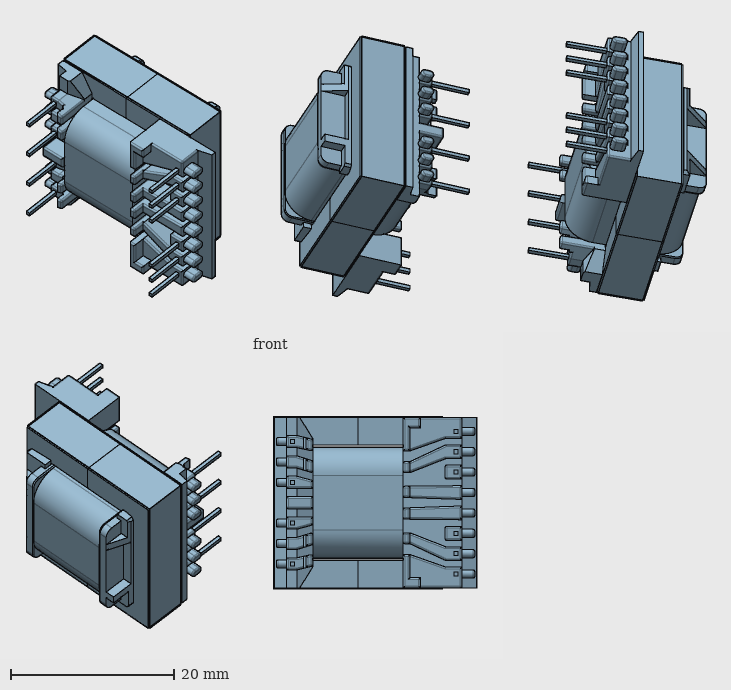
import cadquery as cq

core_half_x = 10.23
core_half_y = 3.0
core_half_z = 10.45
window_half_x = 6.75
window_half_z = 7.05
leg_half_z = 3.11

tape_thickness = 0.1
tape_half_y = 2.8

winding_half_x = 5.53
winding_half_z = 6.82
winding_back_y = 6.77
winding_front_y = -8.15
winding_radius = 3.49

tube_wall = 0.5
plate_half_z = 6.92
plate_radius = 1.0
rim_length = 0.2
rim_depth = 0.07

ledge_half_z = 7.62
ledge_top_y = 4.1
ledge_floor_y = 3.65
ledge_inner_x = 6.08
ledge_tip_y = 3.25
left_ledge_x = 8.0
left_ledge_chamfer = 0.3
right_ledge_x = 9.55
right_ledge_chamfer = 0.4
gusset_inner_z = 3.65
gusset_outer_z = 4.7

flange_back_y = -3.05
lip_root_y = -4.18
left_base_y = -5.38
left_face_x = -8.76
left_lip_x = -10.28
left_lip_y = -3.9
slope_start_x = -7.5
slope_end_y = -4.4
left_corner_x = -7.15
left_corner_z = 7.85
right_base_y = -4.53
right_face_x = 12.75
right_lip_x = 14.57
right_lip_y = -3.65

lug_root_y = -3.98
shelf_y = -7.1
stub_y = -8.67
middle_lug_y = -8.6
lug_fillet = 0.22
lug_half_width = 0.75
step_radius = 0.3
left_stub_x = -6.37
right_stub_x = 6.37
right_bend_x = 10.75
end_wall_z = 6.35
end_wall_bend_z = 7.9
hook_x = 7.67
hook_z = 9.2

outer_lug_rise = 0.25
outer_lug_drop = 1.17
second_lug_rise = 0.12
second_lug_drop = 1.35
tapered_lug_end_z = 2.71

bent_lug_inner_top_z = 5.03
bent_lug_inner_bottom_z = 3.69
bent_lug_outer_top_z = 7.1
bent_lug_outer_bottom_z = 5.4
short_lug_x = 10.68
short_lug_top_z = 4.63
short_lug_bottom_z = 2.9
long_lug_inner_top_z = 2.02
long_lug_inner_bottom_z = 0.65
long_lug_outer_top_z = 2.1
long_lug_outer_bottom_z = 0.4

pin_row_spacing = 20.0
pin_row_middle_x = 2.0
pin_pitch = pin_row_spacing / 8
pin_width = 0.5
pin_tip_y = -12.13
peg_width = 1.0
peg_rounding = 0.22
left_peg_x = -10.0
left_peg_y = -6.03
left_peg_height = 1.65
right_peg_x = 14.32
right_peg_y = -5.9
right_peg_height = 1.9
left_peg_rows = (1, 2, 3)
left_pin_rows = (1, 3)
right_peg_rows = (0.5, 1.5, 2.5, 3.5)
right_pin_rows = (1.5, 2.5, 3.5)


def block(x0, x1, y0, y1, z0, z1):
    """Box between two opposite corners."""
    return cq.Workplane("XY").box(x1 - x0, y1 - y0, z1 - z0, centered=False).translate((x0, y0, z0))


def side_prism(points, z0, z1):
    """Prism along Z over an outline in X and Y."""
    return cq.Workplane("XY").workplane(offset=z0).polyline(points).close().extrude(z1 - z0)


def front_prism(points, y_root, y_front):
    """Prism along -Y over an outline in X and Z."""
    plane = cq.Workplane("XZ", origin=(0, y_root, 0))
    return plane.polyline(points).close().extrude(y_root - y_front)


def mirrored_z(shape):
    return shape.mirror("XY")


def make_core_half(side):
    """E-shaped half: a yoke, two outer legs and a middle leg reaching X = 0."""
    body = block(0, core_half_x, -core_half_y, core_half_y, -core_half_z, core_half_z)
    for z_side in (-1, 1):
        window_z = sorted((z_side * leg_half_z, z_side * window_half_z))
        body = body.cut(block(0, window_half_x, -core_half_y, core_half_y, *window_z))
    return body if side > 0 else body.mirror("YZ")


def make_tape():
    outer_x = core_half_x + tape_thickness
    outer_z = core_half_z + tape_thickness
    band = block(-outer_x, outer_x, -tape_half_y, tape_half_y, -outer_z, outer_z)
    return band.cut(
        block(-core_half_x, core_half_x, -tape_half_y, tape_half_y, -core_half_z, core_half_z)
    )


def tube_envelope():
    half_y = core_half_y + tube_wall
    half_z = leg_half_z + tube_wall
    return block(-winding_half_x, winding_half_x, -half_y, half_y, -half_z, half_z)


def make_winding():
    body = block(
        -winding_half_x, winding_half_x,
        winding_front_y, winding_back_y,
        -winding_half_z, winding_half_z,
    )
    return body.edges("|X").fillet(winding_radius).cut(tube_envelope())


def end_plate():
    """Plate on the +X end of the winding, with a thin bevelled rim next to the winding."""
    plate = block(
        winding_half_x, window_half_x, flange_back_y, winding_back_y, -plate_half_z, plate_half_z
    )
    plate = plate.edges("|X and >Y").fillet(plate_radius)
    return plate.faces("<X").edges("not <Y").chamfer(rim_depth, rim_length)


def back_ledge(reach, corner):
    """Ledge along the +X plate: high outside the gussets, lower between them."""
    outline = [
        (ledge_inner_x, core_half_y + rim_depth),
        (window_half_x, core_half_y + rim_depth),
        (reach, ledge_tip_y),
        (reach, ledge_top_y),
        (ledge_inner_x, ledge_top_y),
    ]
    ledge = side_prism(outline, -ledge_half_z, ledge_half_z)
    ledge = ledge.edges("|Y and >X").chamfer(corner)
    return ledge.cut(
        block(window_half_x, reach, ledge_floor_y, ledge_top_y, -gusset_inner_z, gusset_inner_z)
    )


def gusset(reach):
    """Rib of full height between the plate and the tip of the ledge."""
    return block(
        window_half_x, reach, ledge_floor_y, winding_back_y, gusset_inner_z, gusset_outer_z
    )


def slope_cutter(reach, z0, z1):
    """Material above the line from the plate's back edge to the tip of the ledge."""
    outline = [(window_half_x, winding_back_y), (reach, ledge_floor_y), (reach, winding_back_y)]
    return side_prism(outline, z0, z1)


def right_back():
    support = back_ledge(right_ledge_x, right_ledge_chamfer)
    support = support.union(gusset(right_ledge_x)).union(mirrored_z(gusset(right_ledge_x)))
    support = support.cut(slope_cutter(right_ledge_x, -ledge_half_z, ledge_half_z))
    return end_plate().union(support)


def left_back():
    """Only the gusset on the +Z side slopes; the other one is square."""
    support = back_ledge(left_ledge_x, left_ledge_chamfer)
    support = support.union(gusset(left_ledge_x)).union(mirrored_z(gusset(left_ledge_x)))
    support = support.cut(slope_cutter(left_ledge_x, 0, ledge_half_z))
    return end_plate().union(support).mirror("YZ")


def make_tube():
    return tube_envelope().cut(
        block(-winding_half_x, winding_half_x, -core_half_y, core_half_y, -leg_half_z, leg_half_z)
    )


def left_flange():
    """Flange with a lip, a front that slopes back to the winding, and two cut corners."""
    outline = [
        (-winding_half_x, flange_back_y),
        (left_lip_x, flange_back_y),
        (left_lip_x, left_lip_y),
        (left_face_x, lip_root_y),
        (left_face_x, left_base_y),
        (slope_start_x, left_base_y),
        (-winding_half_x, slope_end_y),
    ]
    flange = side_prism(outline, -core_half_z, core_half_z)
    corner = [
        (left_corner_x, core_half_z),
        (-winding_half_x, core_half_z),
        (-winding_half_x, left_corner_z),
    ]
    cutter = front_prism(corner, flange_back_y, left_base_y)
    return flange.cut(cutter).cut(mirrored_z(cutter))


def right_flange():
    """Plate with a sloping lip, standing out from a raised floor with rounded corners."""
    outline = [
        (winding_half_x, flange_back_y),
        (right_lip_x, flange_back_y),
        (right_lip_x, right_lip_y),
        (right_face_x, lip_root_y),
        (winding_half_x, lip_root_y),
    ]
    plate = side_prism(outline, -core_half_z, core_half_z)
    floor = block(
        winding_half_x, right_face_x, right_base_y, lip_root_y, -core_half_z, core_half_z
    )
    return plate.union(floor.edges("|Y and >X").fillet(lug_fillet))


def low_lug(points, height_y=shelf_y):
    """Lug of one height with a rounded front and a rounded -X end."""
    lug = front_prism(points, lug_root_y, height_y)
    rounded = lug.faces("<Y").edges().add(lug.faces("<X").edges("|Y"))
    return rounded.fillet(lug_fillet)


def left_stepped_lug(points):
    """Lug whose shelf curves into a taller stub next to the winding."""
    inner_x = -winding_half_x
    arc_x = left_stub_x - step_radius
    profile = (
        cq.Workplane("XY")
        .moveTo(inner_x, lug_root_y)
        .lineTo(left_face_x, lug_root_y)
        .lineTo(left_face_x, shelf_y)
        .lineTo(arc_x, shelf_y)
        .radiusArc((left_stub_x, shelf_y - step_radius), -step_radius)
        .lineTo(left_stub_x, stub_y)
        .lineTo(inner_x, stub_y)
        .close()
        .extrude(core_half_z, both=True)
    )
    lug = front_prism(points, lug_root_y, stub_y).intersect(profile)
    arc_start = cq.selectors.BoxSelector(
        (arc_x - lug_fillet / 2, shelf_y - lug_fillet / 2, -core_half_z),
        (arc_x + lug_fillet / 2, shelf_y + lug_fillet / 2, core_half_z),
    )
    arc_start_edge = lug.edges("|Z").edges(arc_start)
    rounded = lug.faces("-Y").edges().add(lug.faces("<X or >X").edges("|Y"))
    rounded_edges = [edge for edge in rounded.vals() if edge != arc_start_edge.val()]
    return lug.newObject(rounded_edges).fillet(lug_fillet)


def right_stepped_lug(points):
    """Lug with a taller stub next to the winding."""
    stub = front_prism(points, lug_root_y, stub_y).intersect(
        block(winding_half_x, right_stub_x, stub_y, lug_root_y, -core_half_z, core_half_z)
    )
    stub_edges = stub.faces("<Y").edges().add(stub.faces("<X or >X").edges("|Y"))
    return low_lug(points).union(stub_edges.fillet(lug_fillet))


def left_lugs():
    """Two bent lugs with stubs and a low tapered one, on the +Z side."""
    end_x = -winding_half_x
    lugs = []
    for row, rise, drop in (
        (3, outer_lug_rise, outer_lug_drop),
        (2, second_lug_rise, second_lug_drop),
    ):
        z = row * pin_pitch
        outline = [
            (left_face_x, z + lug_half_width),
            (slope_start_x, z + lug_half_width),
            (end_x, z + rise),
            (end_x, z - drop),
            (slope_start_x, z - lug_half_width),
            (left_face_x, z - lug_half_width),
        ]
        lugs.append(left_stepped_lug(outline))
    tapered = [
        (left_face_x, pin_pitch + lug_half_width),
        (slope_start_x, pin_pitch + lug_half_width),
        (end_x, tapered_lug_end_z),
        (end_x, pin_pitch - lug_half_width),
        (left_face_x, pin_pitch - lug_half_width),
    ]
    lugs.append(low_lug(tapered))
    return lugs


def middle_lug():
    end_x = -winding_half_x
    outline = [
        (left_face_x, lug_half_width),
        (end_x, lug_half_width),
        (end_x, -lug_half_width),
        (left_face_x, -lug_half_width),
    ]
    return low_lug(outline, middle_lug_y)


def right_end_block():
    """Block at the +Z end of the right flange, with a taller hooked wall by the winding."""
    outline = [
        (winding_half_x, core_half_z),
        (right_face_x, core_half_z),
        (right_face_x, end_wall_bend_z),
        (right_bend_x, end_wall_bend_z),
        (right_stub_x, end_wall_z),
        (winding_half_x, end_wall_z),
    ]
    body = front_prism(outline, lip_root_y, shelf_y)
    body = body.faces("<Y").edges().add(body.edges("|Y and >X and >Z")).fillet(lug_fillet)
    wall = [
        (winding_half_x, core_half_z),
        (hook_x, core_half_z),
        (hook_x, hook_z),
        (right_stub_x, hook_z),
        (right_stub_x, end_wall_z),
        (winding_half_x, end_wall_z),
    ]
    corner_wall = front_prism(wall, right_base_y, stub_y)
    return body.union(corner_wall.faces("<Y").edges().fillet(lug_fillet))


def right_lugs():
    """A bent lug, a short one and a long one, on the +Z side."""
    start_x = winding_half_x
    bent = [
        (start_x, bent_lug_inner_top_z),
        (right_stub_x, bent_lug_inner_top_z),
        (right_bend_x, bent_lug_outer_top_z),
        (right_face_x, bent_lug_outer_top_z),
        (right_face_x, bent_lug_outer_bottom_z),
        (right_bend_x, bent_lug_outer_bottom_z),
        (right_stub_x, bent_lug_inner_bottom_z),
        (start_x, bent_lug_inner_bottom_z),
    ]
    short = [
        (short_lug_x, short_lug_top_z),
        (right_face_x, short_lug_top_z),
        (right_face_x, short_lug_bottom_z),
        (short_lug_x, short_lug_bottom_z),
    ]
    long = [
        (start_x, long_lug_inner_top_z),
        (right_face_x, long_lug_outer_top_z),
        (right_face_x, long_lug_outer_bottom_z),
        (start_x, long_lug_inner_bottom_z),
    ]
    return [right_stepped_lug(bent), low_lug(short), right_stepped_lug(long)]


def peg(x_face, x_tip, y, z, height):
    """Wire peg with a slot-shaped section, pointing along X, with a rounded tip."""
    length = abs(x_tip - x_face)
    body = cq.Workplane("YZ").slot2D(height, peg_width).extrude(length)
    body = body.faces(">X").edges().fillet(peg_rounding)
    if x_tip < x_face:
        body = body.mirror("YZ")
    return body.translate((x_face, y, z))


def pin(x, z):
    half = pin_width / 2
    return block(x - half, x + half, pin_tip_y, shelf_y, z - half, z + half)


def make_bobbin():
    bobbin = make_tube().union(left_back()).union(right_back())
    bobbin = bobbin.union(left_flange()).union(right_flange()).union(middle_lug())
    for lug in left_lugs() + right_lugs() + [right_end_block()]:
        bobbin = bobbin.union(lug).union(mirrored_z(lug))
    left_pin_x = pin_row_middle_x - pin_row_spacing / 2
    right_pin_x = pin_row_middle_x + pin_row_spacing / 2
    for side in (-1, 1):
        for row in left_peg_rows:
            z = side * row * pin_pitch
            bobbin = bobbin.union(peg(left_face_x, left_peg_x, left_peg_y, z, left_peg_height))
        for row in left_pin_rows:
            bobbin = bobbin.union(pin(left_pin_x, side * row * pin_pitch))
        for row in right_peg_rows:
            z = side * row * pin_pitch
            bobbin = bobbin.union(peg(right_face_x, right_peg_x, right_peg_y, z, right_peg_height))
        for row in right_pin_rows:
            bobbin = bobbin.union(pin(right_pin_x, side * row * pin_pitch))
    return bobbin


left_core = make_core_half(-1)
right_core = make_core_half(1)
tape = make_tape()
winding = make_winding()
bobbin = make_bobbin()

result = cq.Compound.makeCompound(
    [left_core.val(), right_core.val(), tape.val(), winding.val(), bobbin.val()]
)